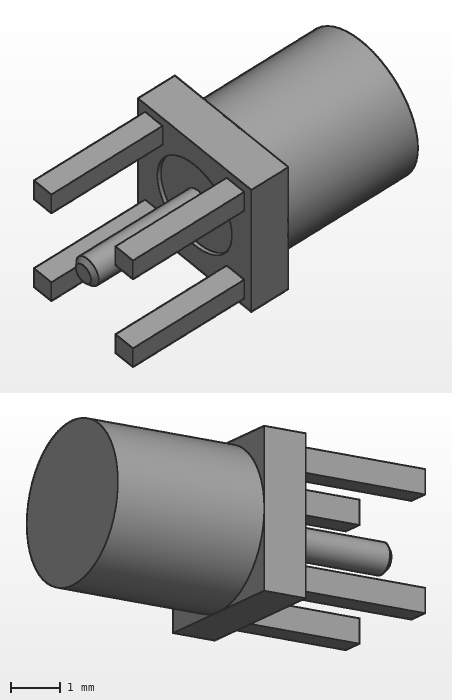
import cadquery as cq

total_length = 7.5
body_size = 3.5
pin_length = 3.0
flange_thickness = total_length - body_size - pin_length

leg_side = 0.54
leg_offset = 1.26
pin_diameter = 0.7
pin_chamfer = 0.11
recess_diameter = 2.3
recess_depth = 0.1

barrel_start = flange_thickness


def section_at(y):
    """Sketch plane normal to the connector axis, facing -Y."""
    return cq.Workplane("XZ", origin=(0, y, 0))


flange = section_at(0).rect(body_size, body_size).extrude(-flange_thickness)
barrel = section_at(barrel_start).circle(body_size / 2).extrude(-body_size)
body = flange.union(barrel)

recess = section_at(0).circle(recess_diameter / 2).extrude(-recess_depth)
body = body.cut(recess)

centre_pin = (
    section_at(recess_depth)
    .circle(pin_diameter / 2)
    .extrude(pin_length + recess_depth)
    .faces("<Y")
    .chamfer(pin_chamfer)
)

legs = (
    section_at(0)
    .rect(2 * leg_offset, 2 * leg_offset, forConstruction=True)
    .vertices()
    .rect(leg_side, leg_side)
    .extrude(pin_length)
)

result = body.union(centre_pin).union(legs)